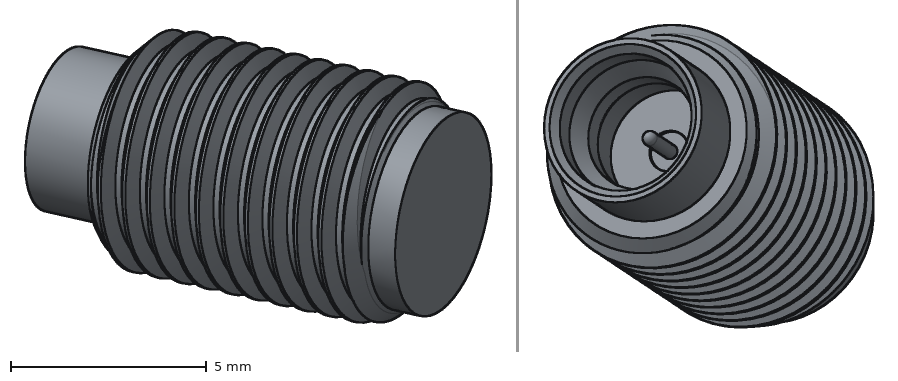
import cadquery as cq
import math

total_length = 10.92
neck_diameter = 4.31
shoulder_x = 2.04
shoulder_diameter = 5.21
collar_x = 10.15
collar_diameter = 5.33

thread_diameter = 6.35
first_crest_x = 2.5
last_crest_x = 9.55
pitches_between = 10
pitch = (last_crest_x - first_crest_x) / pitches_between
flank_slope = math.tan(math.radians(30))
crest_flat = pitch / 8
root_flat = pitch / 4
thread_depth = (pitch - crest_flat - root_flat) / 2 / flank_slope
crest_radius = thread_diameter / 2
root_radius = crest_radius - thread_depth
ridge_embed = 0.03

mouth_diameter = 4.01
guide_diameter = 3.6
throat_diameter = 2.95
chamber_diameter = 3.18
guide_start_x = (mouth_diameter - guide_diameter) / 2
guide_end_x = 0.88
throat_start_x = 1.38
throat_end_x = 2.05
chamber_flare_angle = 30
chamber_flare_length = (chamber_diameter - throat_diameter) / 2 / math.tan(math.radians(chamber_flare_angle))
floor_x = 3.28

pin_diameter = 0.38
pin_tip_x = 1.75
recess_diameter = 1.06
recess_floor_x = floor_x + 0.11
pin_root_x = recess_floor_x + 0.11


def revolve_about_x(outline):
    """Turn an (axial, radial) outline into a solid of revolution about X."""
    return cq.Workplane("XY").polyline(outline).close().revolve(360, (0, 0, 0), (1, 0, 0))


def chamfered_barrel(radius):
    """Cylinder from shoulder to collar whose ends taper at 45 degrees to fixed end diameters."""
    shoulder_radius = shoulder_diameter / 2
    collar_radius = collar_diameter / 2
    return revolve_about_x([
        (shoulder_x, 0),
        (shoulder_x, shoulder_radius),
        (shoulder_x + radius - shoulder_radius, radius),
        (collar_x - radius + collar_radius, radius),
        (collar_x, collar_radius),
        (collar_x, 0),
    ])


def cylinder(start_x, end_x, diameter):
    """Round bar along X."""
    return cq.Workplane("YZ").workplane(offset=start_x).circle(diameter / 2).extrude(end_x - start_x)


def thread_ridge():
    """Helical ridge that is trimmed at both ends by the 45 degree chamfers."""
    start_x = first_crest_x - pitch
    turns = math.ceil((collar_x - start_x) / pitch) + 1
    base_radius = root_radius - ridge_embed
    half_crest = crest_flat / 2
    half_base = half_crest + (crest_radius - base_radius) * flank_slope
    helix = cq.Workplane(obj=cq.Wire.makeHelix(pitch, turns * pitch, root_radius))
    ridge = (
        cq.Workplane("XZ")
        .polyline([
            (base_radius, -half_base),
            (crest_radius, -half_crest),
            (crest_radius, half_crest),
            (base_radius, half_base),
        ])
        .close()
        .sweep(helix, isFrenet=True)
    )
    ridge = ridge.rotate((0, 0, 0), (0, 1, 0), 90).rotate((0, 0, 0), (1, 0, 0), 180)
    ridge = ridge.translate((start_x, 0, 0))
    return ridge.intersect(chamfered_barrel(crest_radius + thread_depth))


def socket():
    """Cutter for the stepped socket, ending in the recess around the pin."""
    stepped_bore = revolve_about_x([
        (0, 0),
        (0, mouth_diameter / 2),
        (guide_start_x, guide_diameter / 2),
        (guide_end_x, guide_diameter / 2),
        (throat_start_x, throat_diameter / 2),
        (throat_end_x, throat_diameter / 2),
        (throat_end_x + chamber_flare_length, chamber_diameter / 2),
        (floor_x, chamber_diameter / 2),
        (floor_x, 0),
    ])
    return stepped_bore.union(cylinder(floor_x, recess_floor_x, recess_diameter))


def contact_pin():
    """Pin along the axis with a hemispherical nose."""
    radius = pin_diameter / 2
    nose_offset = radius * math.sqrt(0.5)
    nose_centre_x = pin_tip_x + radius
    return (
        cq.Workplane("XY")
        .moveTo(pin_tip_x, 0)
        .threePointArc((nose_centre_x - nose_offset, nose_offset), (nose_centre_x, radius))
        .lineTo(pin_root_x, radius)
        .lineTo(pin_root_x, 0)
        .close()
        .revolve(360, (0, 0, 0), (1, 0, 0))
    )


neck = cylinder(0, shoulder_x, neck_diameter)
collar = cylinder(collar_x, total_length, collar_diameter)
body = chamfered_barrel(root_radius).union(thread_ridge()).union(neck).union(collar)
result = body.cut(socket()).union(contact_pin())